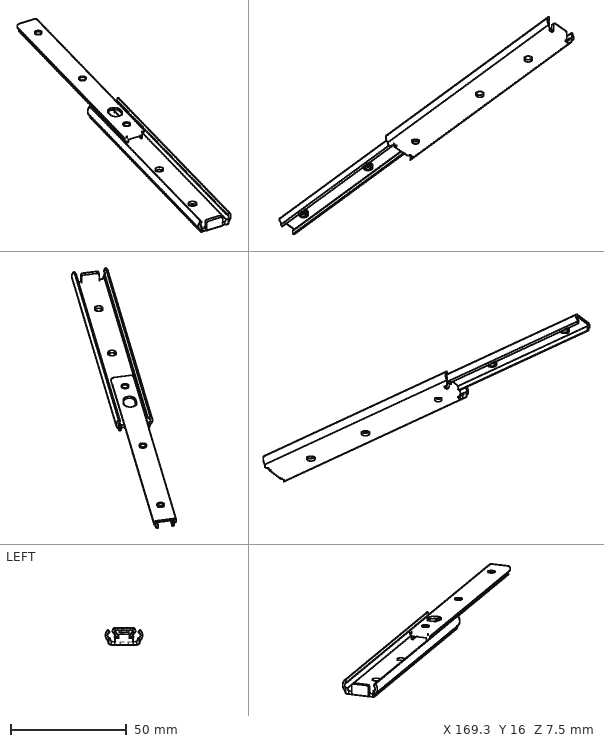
import cadquery as cq
import math

TOTAL_LENGTH = 169.3
OUTER_LENGTH = 100.0
INNER_LENGTH = 97.0
OUTER_END = TOTAL_LENGTH / 2
OUTER_START = OUTER_END - OUTER_LENGTH
INNER_START = -TOTAL_LENGTH / 2
INNER_END = INNER_START + INNER_LENGTH

OUTER_HALF_WIDTH = 16.0 / 2
OUTER_WALL = 1.0
FLOOR_THICKNESS = 1.44
SIDE_HALF_WIDTH = 7.0
BEND_RADIUS = 1.5
FILLET_RADIUS = 1.0
RACE_Z = 4.2
RACE_BACK_Y = 4.9
TRACK_Y = 5.67
LIP_TOP_Y = 7.0
LIP_TIP_Y = 6.1

NOTCH_HALF_WIDTH = 5.6
NOTCH_BEVEL = 1.0
STOP_END_DEPTH = 1.0
OPEN_END_DEPTH = 2.5

STEM_TAB_SETBACK = 1.0
STEM_TAB_START = OUTER_START + STEM_TAB_SETBACK
TAB_HALF_WIDTH = 3.9
TAB_OUTER_BEND = 1.1
TAB_INNER_BEND = 0.6
TAB_ROOT = TAB_INNER_BEND + FLOOR_THICKNESS
TAB_OVERLAP = 0.8
STOP_HEIGHT = 5.2
STOP_ROUNDING = 0.8
STEM_HALF_WIDTH = 2.4
STEM_HEIGHT = 4.5
STEM_CHAMFER = 0.3
SHOULDER_HEIGHT = 2.9

TOP_Z = 7.5
INNER_HALF_WIDTH = 10.0 / 2
INNER_WALL = 1.0
CORNER_RADIUS = 1.27
GROOVE_RADIUS = 1.27
GROOVE_Y = 5.2
FOOT_TIP_Z = 3.5
FOOT_HEEL_Z = 3.0

END_WALL_BOTTOM = 4.5
END_ROUNDING = 0.8

HOLE_PITCH = 40.0
TAPPED_DIAMETER = 2.5
TAPPED_CHAMFER = 0.3
TAPPED_COUNT = 3
TAPPED_MARGIN = 10.0
BOSS_DIAMETER = 4.0
BOSS_BOTTOM = 5.6
ACCESS_X = -5.2
SLOT_LENGTH = 7.1
SLOT_WIDTH = 5.6
ACCESS_HOLE_DIAMETER = 3.0
MOUNT_DIAMETER = 3.5
MOUNT_STEP = 30.0
MOUNT_X = ACCESS_X + HOLE_PITCH

TAPPED_POINTS = [(INNER_START + TAPPED_MARGIN + i * HOLE_PITCH, 0) for i in range(TAPPED_COUNT)]
MOUNT_POINTS = [(MOUNT_X, 0), (MOUNT_X + MOUNT_STEP, 0)]


def on_circle(y, z, radius, degrees):
    """Point of a circle around (y, z) at an angle from the +Y direction."""
    angle = math.radians(degrees)
    return (y + radius * math.cos(angle), z + radius * math.sin(angle))


def leg(hypotenuse, other_leg):
    """Remaining leg of a right triangle."""
    return math.sqrt(hypotenuse**2 - other_leg**2)


def mirrored_rail(half_outline, length):
    """Extrude the +Y half of a section along X and add its mirror image."""
    half = half_outline.close().extrude(length)
    return half.union(half.mirror("XZ"))


def cylinders(points, diameter, bottom, top):
    plane = cq.Workplane("XY", origin=(0, 0, bottom))
    return plane.pushPoints(points).circle(diameter / 2).extrude(top - bottom)


def outer_profile_rail():
    back_radius = OUTER_HALF_WIDTH - RACE_BACK_Y
    track_edge = OUTER_HALF_WIDTH - OUTER_WALL
    track_radius = track_edge - TRACK_Y
    inside = SIDE_HALF_WIDTH - OUTER_WALL
    bend_y = SIDE_HALF_WIDTH - BEND_RADIUS
    fillet_y = inside - FILLET_RADIUS
    fillet_z = FLOOR_THICKNESS + FILLET_RADIUS
    bend_middle = on_circle(bend_y, BEND_RADIUS, BEND_RADIUS, -45)
    fillet_middle = on_circle(fillet_y, fillet_z, FILLET_RADIUS, -45)
    outline = (
        cq.Workplane("YZ", origin=(OUTER_START, 0, 0))
        .moveTo(0, 0)
        .lineTo(bend_y, 0)
        .threePointArc(bend_middle, (SIDE_HALF_WIDTH, BEND_RADIUS))
        .lineTo(SIDE_HALF_WIDTH, RACE_Z - leg(back_radius, SIDE_HALF_WIDTH - RACE_BACK_Y))
        .threePointArc(
            (OUTER_HALF_WIDTH, RACE_Z),
            (LIP_TOP_Y, RACE_Z + leg(back_radius, LIP_TOP_Y - RACE_BACK_Y)),
        )
        .lineTo(LIP_TIP_Y, RACE_Z + leg(track_radius, LIP_TIP_Y - TRACK_Y))
        .threePointArc((track_edge, RACE_Z), (inside, RACE_Z - leg(track_radius, inside - TRACK_Y)))
        .lineTo(inside, fillet_z)
        .threePointArc(fillet_middle, (fillet_y, FLOOR_THICKNESS))
        .lineTo(0, FLOOR_THICKNESS)
    )
    return mirrored_rail(outline, OUTER_LENGTH)


def end_block(x_end, reach, half_width):
    """Block that removes everything within reach of an end and half_width of the middle."""
    block = cq.Workplane("XY").box(2 * reach, 2 * half_width, 2 * TOP_Z)
    return block.translate((x_end, 0, 0))


def end_notch(x_end, inward, depth):
    """Set-back of the floor at an end, with 45-degree bevels on the side walls and lips."""
    bevel_x = x_end + inward * NOTCH_BEVEL
    wide = NOTCH_HALF_WIDTH + NOTCH_BEVEL
    corners = [
        (x_end, -wide),
        (bevel_x, -NOTCH_HALF_WIDTH),
        (bevel_x, NOTCH_HALF_WIDTH),
        (x_end, wide),
    ]
    bevels = cq.Workplane("XY").polyline(corners).close().extrude(TOP_Z)
    return bevels.union(end_block(x_end, depth, NOTCH_HALF_WIDTH))


def bent_tab(x_end, inward, height):
    """Tab bent up from the floor, with its outer face at x_end."""
    def at(distance):
        return x_end + inward * distance

    cut_45 = 1 - math.sqrt(0.5)
    outer_middle = TAB_OUTER_BEND * cut_45
    inner_middle = FLOOR_THICKNESS + TAB_INNER_BEND * cut_45
    tail = TAB_ROOT + TAB_OVERLAP
    return (
        cq.Workplane("XZ", origin=(0, TAB_HALF_WIDTH, 0))
        .moveTo(at(tail), 0)
        .lineTo(at(TAB_OUTER_BEND), 0)
        .threePointArc((at(outer_middle), outer_middle), (x_end, TAB_OUTER_BEND))
        .lineTo(x_end, height)
        .lineTo(at(FLOOR_THICKNESS), height)
        .lineTo(at(FLOOR_THICKNESS), TAB_ROOT)
        .threePointArc((at(inner_middle), inner_middle), (at(TAB_ROOT), FLOOR_THICKNESS))
        .lineTo(at(tail), FLOOR_THICKNESS)
        .close()
        .extrude(2 * TAB_HALF_WIDTH)
    )


def stop_tab():
    return bent_tab(OUTER_END, -1, STOP_HEIGHT).edges("|X and >Z").fillet(STOP_ROUNDING)


def stemmed_tab():
    """Tab at the open end: a wide foot below the inner rail and a narrow stem inside it."""
    foot = bent_tab(STEM_TAB_START, 1, SHOULDER_HEIGHT)
    stem_rise = STEM_HEIGHT - SHOULDER_HEIGHT
    stem = (
        cq.Workplane("XY", origin=(STEM_TAB_START + FLOOR_THICKNESS / 2, 0, SHOULDER_HEIGHT))
        .box(FLOOR_THICKNESS, 2 * STEM_HALF_WIDTH, stem_rise, centered=(True, True, False))
        .edges("|X and >Z")
        .chamfer(STEM_CHAMFER)
    )
    return foot.union(stem)


def make_outer_rail():
    rail = outer_profile_rail()
    rail = rail.cut(end_notch(OUTER_END, -1, STOP_END_DEPTH))
    rail = rail.cut(end_notch(OUTER_START, 1, OPEN_END_DEPTH))
    for x_end, tab in ((OUTER_END, stop_tab()), (STEM_TAB_START, stemmed_tab())):
        rail = rail.cut(end_block(x_end, TAB_ROOT, TAB_HALF_WIDTH)).union(tab)
    rail = rail.cut(cylinders([(ACCESS_X, 0)], ACCESS_HOLE_DIAMETER, 0, FLOOR_THICKNESS))
    return rail.cut(cylinders(MOUNT_POINTS, MOUNT_DIAMETER, 0, FLOOR_THICKNESS))


def inner_profile_rail():
    corner_y = INNER_HALF_WIDTH - CORNER_RADIUS
    corner_z = TOP_Z - CORNER_RADIUS
    corner_inside = CORNER_RADIUS - INNER_WALL
    groove_inside = GROOVE_RADIUS + INNER_WALL
    groove_z = corner_z - leg(CORNER_RADIUS + GROOVE_RADIUS, GROOVE_Y - corner_y)
    touch_angle = math.degrees(math.atan2(groove_z - corner_z, GROOVE_Y - corner_y))
    corner_angle = (touch_angle + 90) / 2
    tip_y = GROOVE_Y - leg(GROOVE_RADIUS, groove_z - FOOT_TIP_Z)
    heel_y = GROOVE_Y - leg(groove_inside, groove_z - FOOT_HEEL_Z)
    outline = (
        cq.Workplane("YZ", origin=(INNER_START, 0, 0))
        .moveTo(0, TOP_Z)
        .lineTo(corner_y, TOP_Z)
        .threePointArc(
            on_circle(corner_y, corner_z, CORNER_RADIUS, corner_angle),
            on_circle(corner_y, corner_z, CORNER_RADIUS, touch_angle),
        )
        .threePointArc((GROOVE_Y - GROOVE_RADIUS, groove_z), (tip_y, FOOT_TIP_Z))
        .lineTo(heel_y, FOOT_HEEL_Z)
        .threePointArc(
            (GROOVE_Y - groove_inside, groove_z),
            on_circle(corner_y, corner_z, corner_inside, touch_angle),
        )
        .threePointArc(
            on_circle(corner_y, corner_z, corner_inside, corner_angle),
            (corner_y, corner_z + corner_inside),
        )
        .lineTo(0, TOP_Z - INNER_WALL)
    )
    return mirrored_rail(outline, INNER_LENGTH)


def end_wall():
    """Wall that closes the inner channel at its end; its sides lie inside the legs."""
    half_width = INNER_HALF_WIDTH - CORNER_RADIUS
    top = TOP_Z - INNER_WALL / 2
    return (
        cq.Workplane("XY", origin=(INNER_END - INNER_WALL / 2, 0, END_WALL_BOTTOM))
        .box(INNER_WALL, 2 * half_width, top - END_WALL_BOTTOM, centered=(True, True, False))
    )


def add_tapped_holes(rail):
    """Holes through round bosses below the top plate, chamfered at the top."""
    rail = rail.union(cylinders(TAPPED_POINTS, BOSS_DIAMETER, BOSS_BOTTOM, TOP_Z))
    rail = rail.cut(cylinders(TAPPED_POINTS, TAPPED_DIAMETER, BOSS_BOTTOM, TOP_Z))
    return rail.faces(">Z").edges("%CIRCLE").chamfer(TAPPED_CHAMFER)


def make_inner_rail():
    rail = inner_profile_rail().union(end_wall())
    rail = rail.edges(">X and >Z").fillet(END_ROUNDING)
    rail = add_tapped_holes(rail)
    slot_plane = cq.Workplane("XY", origin=(ACCESS_X, 0, TOP_Z - INNER_WALL))
    return rail.cut(slot_plane.slot2D(SLOT_LENGTH, SLOT_WIDTH).extrude(INNER_WALL))


outer_rail = make_outer_rail()
inner_rail = make_inner_rail()
result = cq.Compound.makeCompound([outer_rail.val(), inner_rail.val()])